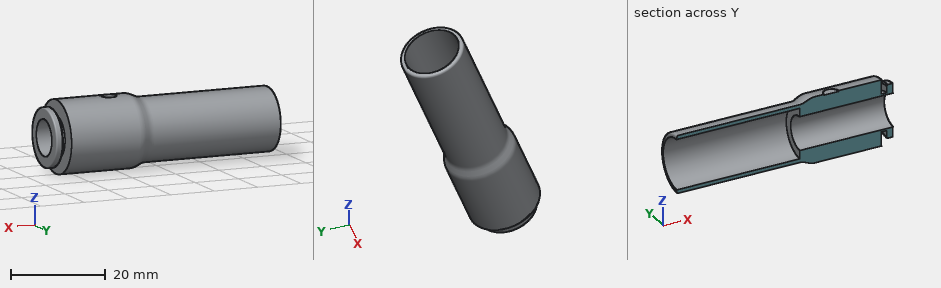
import cadquery as cq
import math

total_length = 51.7
stem_length = 29.35
body_start = 32.9
body_end = 48.9
collar_start = 50.05

stem_radius = 7.0
body_radius = 8.0
neck_radius = 4.6
collar_radius = 6.5

stem_fillet = 0.5
collar_fillet = 0.35
collar_chamfer = 0.3

blend_radius = 3.0

stem_bore_radius = 6.0
through_radius = 4.0
stem_bore_depth = stem_length

recess_x = 36.9
recess_radius = 1.75
recess_floor_z = 7.8


def cone_angle():
    """Slope of the common tangent to the concave stem arc and the convex body arc."""
    run = body_start - stem_length
    centre_drop = 2 * blend_radius - (body_radius - stem_radius)
    centre_distance = math.hypot(run, centre_drop)
    return math.asin(2 * blend_radius / centre_distance) - math.atan2(centre_drop, run)


def revolve_about_x(profile):
    return profile.close().revolve(360, (0, 0, 0), (1, 0, 0))


def make_stem_and_body():
    angle = cone_angle()
    blend_length = blend_radius * math.sin(angle)
    blend_rise = blend_radius * (1 - math.cos(angle))
    mid_dx = blend_radius * math.sin(angle / 2)
    mid_rise = blend_radius * (1 - math.cos(angle / 2))
    profile = (
        cq.Workplane("XY")
        .lineTo(0, stem_radius - stem_fillet)
        .radiusArc((stem_fillet, stem_radius), stem_fillet)
        .lineTo(stem_length, stem_radius)
        .threePointArc(
            (stem_length + mid_dx, stem_radius + mid_rise),
            (stem_length + blend_length, stem_radius + blend_rise),
        )
        .lineTo(body_start - blend_length, body_radius - blend_rise)
        .threePointArc((body_start - mid_dx, body_radius - mid_rise), (body_start, body_radius))
        .lineTo(body_end, body_radius)
        .lineTo(body_end, 0)
    )
    return revolve_about_x(profile)


def make_release_collar():
    profile = (
        cq.Workplane("XY")
        .moveTo(body_end, 0)
        .lineTo(body_end, neck_radius)
        .lineTo(collar_start, neck_radius)
        .lineTo(collar_start, collar_radius - collar_chamfer)
        .lineTo(collar_start + collar_chamfer, collar_radius)
        .lineTo(total_length - collar_fillet, collar_radius)
        .radiusArc((total_length, collar_radius - collar_fillet), collar_fillet)
        .lineTo(total_length, 0)
    )
    return revolve_about_x(profile)


def make_bore(radius, depth):
    return cq.Workplane("YZ").circle(radius).extrude(depth)


def make_recess():
    return (
        cq.Workplane("XY", origin=(recess_x, 0, recess_floor_z))
        .circle(recess_radius)
        .extrude(body_radius - recess_floor_z)
    )


result = (
    make_stem_and_body()
    .union(make_release_collar())
    .cut(make_bore(stem_bore_radius, stem_bore_depth))
    .cut(make_bore(through_radius, total_length))
    .cut(make_recess())
)